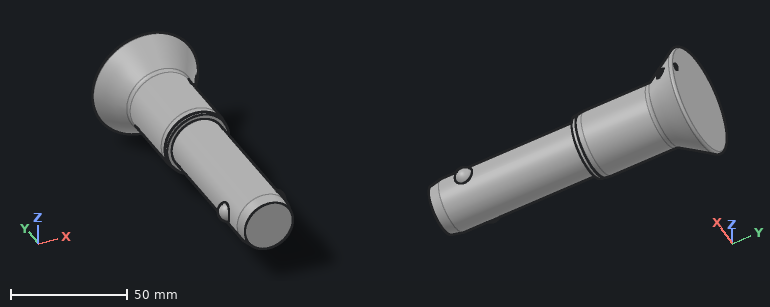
import cadquery as cq
import math

total_length = 126.8
back_y = total_length / 2
tip_y = -total_length / 2

flange_radius = 25.0
rim_radius = 1.0
grip_radius = 15.2
flare_end_depth = 17.1
blend_radius = 4.2
taper_start_depth = 49.8
taper_end_depth = 52.7
taper_end_radius = 15.0
collar_radius = 14.7
collar_end_depth = 54.8

shank_radius = 12.5
tip_radius = 11.4
tip_length = 5.5

ball_radius = 4.5
ball_center_x = 11.2
ball_tip_distance = 17.8

lanyard_hole_diameter = 2.9
lanyard_hole_x = 20.9


def turned_body():
    """Revolve the half outline, in radius and Y, about the Y axis."""
    rim_center_x = flange_radius - rim_radius
    rim_dx = rim_center_x - grip_radius
    rim_dy = flare_end_depth - rim_radius
    center_angle = math.atan2(rim_dx, rim_dy)
    offset_angle = math.asin(rim_radius / math.hypot(rim_dx, rim_dy))
    flare_angle = center_angle + offset_angle
    rim_center_y = back_y - rim_radius

    def rim_point(angle):
        return (
            rim_center_x + rim_radius * math.cos(angle),
            rim_center_y + rim_radius * math.sin(angle),
        )

    tangent_length = blend_radius * math.tan(flare_angle / 2)
    corner_y = back_y - flare_end_depth
    blend_start = (
        grip_radius + tangent_length * math.sin(flare_angle),
        corner_y + tangent_length * math.cos(flare_angle),
    )
    blend_end = (grip_radius, corner_y - tangent_length)
    blend_middle = (
        grip_radius + blend_radius * (1 - math.cos(flare_angle / 2)),
        blend_end[1] + blend_radius * math.sin(flare_angle / 2),
    )

    rim_middle_angle = (math.pi / 2 - flare_angle) / 2
    return (
        cq.Workplane("XY")
        .moveTo(0, back_y)
        .lineTo(rim_center_x, back_y)
        .threePointArc(rim_point(rim_middle_angle), rim_point(-flare_angle))
        .lineTo(*blend_start)
        .threePointArc(blend_middle, blend_end)
        .lineTo(grip_radius, back_y - taper_start_depth)
        .lineTo(taper_end_radius, back_y - taper_end_depth)
        .lineTo(collar_radius, back_y - taper_end_depth)
        .lineTo(collar_radius, back_y - collar_end_depth)
        .lineTo(shank_radius, back_y - collar_end_depth)
        .lineTo(shank_radius, tip_y + tip_length)
        .lineTo(tip_radius, tip_y)
        .lineTo(0, tip_y)
        .close()
        .revolve(360, (0, 0, 0), (0, 1, 0))
    )


def locking_balls():
    centers = [(side * ball_center_x, tip_y + ball_tip_distance) for side in (-1, 1)]
    return cq.Workplane("XY").pushPoints(centers).sphere(ball_radius)


def lanyard_hole():
    return (
        cq.Workplane("XZ", origin=(lanyard_hole_x, back_y, 0))
        .circle(lanyard_hole_diameter / 2)
        .extrude(flare_end_depth)
    )


result = turned_body().union(locking_balls()).cut(lanyard_hole())